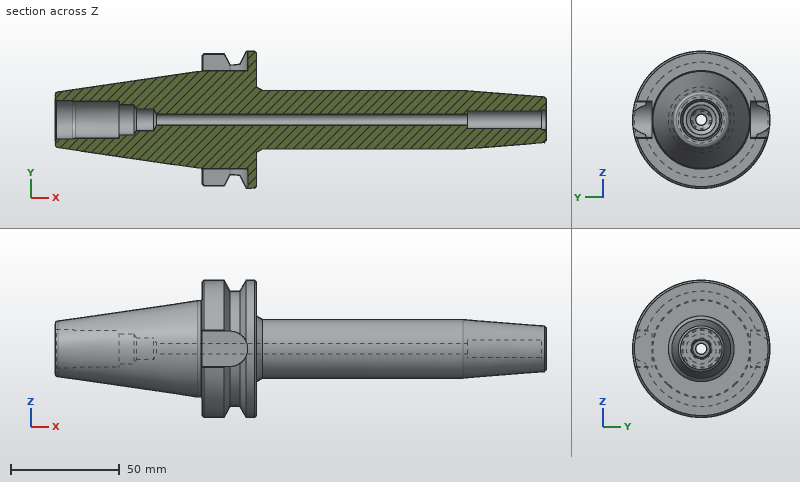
import cadquery as cq
import math

total_length = 225.5
gauge_x = 65.4
flange_front_x = 67.5
flange_back_x = 92.5
nose_x = 187.0

gauge_diameter = 44.5
taper_rate = 7 / 24
small_end_diameter = gauge_diameter - taper_rate * gauge_x
shank_edge_radius = 1.4
shank_root_radius = 0.5

flange_diameter = 63.0
flange_chamfer = 1.0
groove_diameter = 53.0
groove_start_x = 77.5
groove_floor_start_x = 80.2
groove_floor_end_x = 84.8
groove_end_x = 87.7

neck_diameter = 27.0
neck_flare_length = 2.7
neck_flare_height = 1.5
nose_end_diameter = 21.0
nose_chamfer = 1.0

slot_width = 16.2
slot_floor_offset = 22.5
slot_end_x = 88.4
slot_edge_chamfer = 0.5

mouth_diameter = 17.5
mouth_depth = 8.0
mouth_chamfer = 0.7
thread_diameter = 17.0
thread_start_x = 9.2
thread_end_x = 29.3
pilot_diameter = 13.7
pilot_end_x = 36.0
inner_diameter = 10.0
inner_end_x = 45.0
coolant_diameter = 5.0
drill_half_angle = math.radians(59)
tool_bore_diameter = 8.0
tool_bore_start_x = 189.3
tool_relief_diameter = 9.0
tool_relief_depth = 2.3


def revolve_about_x(points):
    """Revolve an outline of (x, radius) points about the X axis."""
    outline = cq.Workplane("XY").polyline(points).close()
    return outline.revolve(360, (0, 0, 0), (1, 0, 0))


def make_body():
    gauge_r = gauge_diameter / 2
    flange_r = flange_diameter / 2
    neck_r = neck_diameter / 2
    nose_r = nose_end_diameter / 2
    nose_slope = (neck_r - nose_r) / (total_length - nose_x)
    body = revolve_about_x([
        (0, 0),
        (0, small_end_diameter / 2),
        (gauge_x, gauge_r),
        (flange_front_x - shank_root_radius, gauge_r),
        (flange_front_x, gauge_r + shank_root_radius),
        (flange_front_x, flange_r - flange_chamfer),
        (flange_front_x + flange_chamfer, flange_r),
        (groove_start_x, flange_r),
        (groove_floor_start_x, groove_diameter / 2),
        (groove_floor_end_x, groove_diameter / 2),
        (groove_end_x, flange_r),
        (flange_back_x - flange_chamfer, flange_r),
        (flange_back_x, flange_r - flange_chamfer),
        (flange_back_x, neck_r + neck_flare_height),
        (flange_back_x + neck_flare_length, neck_r),
        (nose_x, neck_r),
        (total_length - nose_chamfer, nose_r + nose_slope * nose_chamfer),
        (total_length, nose_r - nose_chamfer),
        (total_length, 0),
    ])
    return body.faces("<X").edges().fillet(shank_edge_radius)


def make_bore():
    coolant_r = coolant_diameter / 2
    inner_r = inner_diameter / 2
    drill_tip_length = (inner_r - coolant_r) / math.tan(drill_half_angle)
    pilot_r = pilot_diameter / 2
    pilot_cone_length = (pilot_r - inner_r) / math.tan(drill_half_angle)
    return revolve_about_x([
        (0, 0),
        (0, mouth_diameter / 2 + mouth_chamfer),
        (mouth_chamfer, mouth_diameter / 2),
        (mouth_depth, mouth_diameter / 2),
        (thread_start_x, thread_diameter / 2),
        (thread_end_x, thread_diameter / 2),
        (thread_end_x, pilot_r),
        (pilot_end_x, pilot_r),
        (pilot_end_x + pilot_cone_length, inner_r),
        (inner_end_x, inner_r),
        (inner_end_x + drill_tip_length, coolant_r),
        (tool_bore_start_x, coolant_r),
        (tool_bore_start_x, tool_bore_diameter / 2),
        (total_length - tool_relief_depth, tool_bore_diameter / 2),
        (total_length - tool_relief_depth, tool_relief_diameter / 2),
        (total_length, tool_relief_diameter / 2),
        (total_length, 0),
    ])


def make_drive_slot(side):
    """Round-ended slot cutter outside the flat floor; side is +1 or -1 along Y."""
    half_width = slot_width / 2
    arc_center_x = slot_end_x - half_width
    depth = flange_diameter / 2 - slot_floor_offset
    return (
        cq.Workplane("XZ", origin=(0, side * slot_floor_offset, 0))
        .moveTo(gauge_x, -half_width)
        .lineTo(arc_center_x, -half_width)
        .threePointArc((slot_end_x, 0), (arc_center_x, half_width))
        .lineTo(gauge_x, half_width)
        .close()
        .extrude(-side * depth)
    )


def chamfer_slot_edges(body, side):
    """Chamfer the slot's straight side edges on the flange's front face and front land."""
    margin = 0.2
    near_y = side * (slot_floor_offset + margin)
    far_y = side * flange_diameter / 2
    for edge_z in (-slot_width / 2, slot_width / 2):
        edge_box = cq.selectors.BoxSelector(
            (flange_front_x - margin, near_y, edge_z - margin),
            (groove_start_x, far_y, edge_z + margin),
        )
        body = body.edges(edge_box).chamfer(slot_edge_chamfer)
    return body


result = make_body().cut(make_bore())
for side in (-1, 1):
    result = result.cut(make_drive_slot(side))
    result = chamfer_slot_edges(result, side)